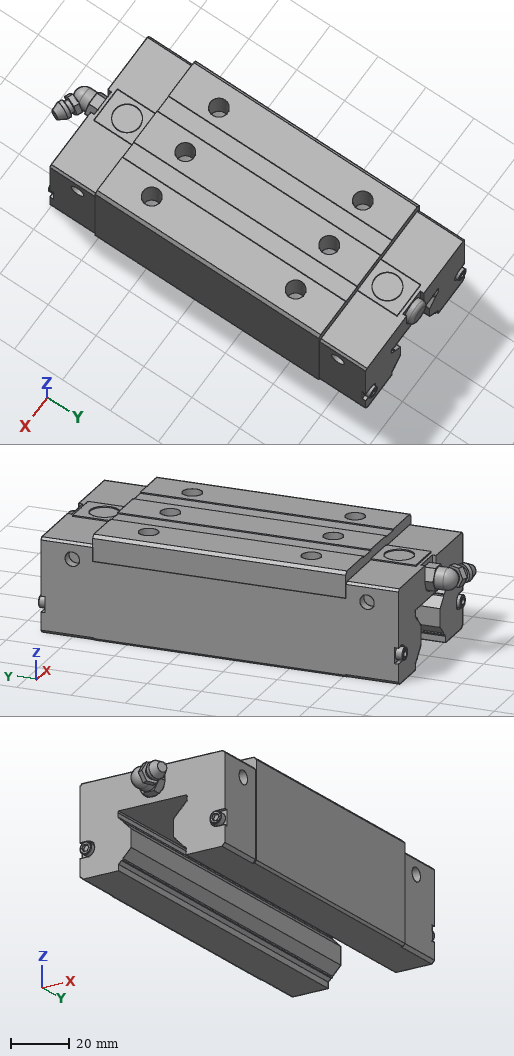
import cadquery as cq
import math


block_length = 93.3
block_half_width = 30.0
block_height = 39.0
block_chamfer = 1.2
block_base_chamfer = 0.9
relief_depth = 0.5
relief_height = 29.3
groove_inner = 7.0
groove_outer = 13.8
groove_depth = 0.5

cap_half_width = block_half_width - relief_depth
cap_end = 63.3
plate_end = 66.0
cap_height = 35.2
cap_chamfer = 0.9
cap_base_chamfer = 1.2
strip_thickness = 0.5

channel_top = 22.0
channel_mouth = 13.8
channel_waist = 8.6
waist_top = 14.4
waist_bottom = 7.5
undercut_half_width = 14.0
undercut_top = 21.4
undercut_bottom = waist_top + undercut_half_width - channel_waist
mouth_height = waist_bottom - (channel_mouth - channel_waist)
lip_offset = 3.4
lip_size = 0.6

hole_pitch_x = 20.0
hole_pitch_y = 30.0
hole_radius = 3.5
hole_depth = 11.7
drill_point_angle = 118
drill_tip = hole_radius / math.tan(math.radians(drill_point_angle / 2))

port_y = 54.4
top_port_radius = 5.3
top_port_depth = 0.5
side_port_radius = 2.6
side_port_z = 28.9
side_port_depth = 3.7

recess_depth = 1.5
recess_floor = plate_end - recess_depth
screw_x = 26.5
screw_z = 10.7
screw_recess_radius = 3.0
screw_radius = 2.3
screw_end = 67.2
screw_chamfer = 0.3
socket_width = 3.0
socket_depth = 1.2

port_z = 29.3
port_recess_radius = 5.1
plug_radius = 4.7
plug_end = 67.8
plug_fillet = 1.5
hex_width = 9.7
hex_end = 68.7
elbow_radius = 4.0
elbow_y = 72.1
nozzle_angle = 23
collar_start = 3.4
collar_end = 5.5
collar_width = 8.2
neck_radius = 2.5
neck_end = 7.3
head_radius = 3.4
head_end = 9.0
tip_radius = 1.9
tip_end = 12.0


def along_y(x, z, y):
    """Workplane at the given point whose normal is +Y and whose local y is -Z."""
    return cq.Workplane(cq.Plane((x, y, z), (1, 0, 0), (0, 1, 0)))


def extrude_both(points, half_length):
    """Prism along Y, centred on Y = 0, from (x, z) points."""
    return cq.Workplane("XZ").polyline(points).close().extrude(half_length, both=True)


def make_block():
    lower_left = -cap_half_width
    shoulder = block_half_width - block_chamfer
    chamfer_base = block_height - block_chamfer
    points = [
        (lower_left + block_base_chamfer, 0),
        (block_half_width - block_base_chamfer, 0),
        (block_half_width, block_base_chamfer),
        (block_half_width, chamfer_base),
        (shoulder, block_height),
        (-shoulder, block_height),
        (-block_half_width, chamfer_base),
        (-block_half_width, relief_height),
        (lower_left, relief_height),
        (lower_left, block_base_chamfer),
    ]
    block = extrude_both(points, block_length / 2)
    groove_middle = (groove_inner + groove_outer) / 2
    grooves = (
        cq.Workplane("XY", origin=(0, 0, block_height))
        .pushPoints([(-groove_middle, 0), (groove_middle, 0)])
        .rect(groove_outer - groove_inner, block_length)
        .extrude(-groove_depth)
    )
    return block.cut(grooves)


def make_ends():
    points = [
        (cap_half_width - cap_base_chamfer, 0),
        (cap_half_width, cap_base_chamfer),
        (cap_half_width, cap_height - cap_chamfer),
        (cap_half_width - cap_chamfer, cap_height),
    ]
    mirrored = [(-x, z) for x, z in reversed(points)]
    ends = extrude_both(points + mirrored, plate_end)
    strip = (
        cq.Workplane("XY", origin=(0, 0, cap_height))
        .rect(2 * groove_inner, 2 * cap_end)
        .extrude(strip_thickness)
    )
    return ends.union(strip)


def make_channel():
    lip_x = channel_waist + lip_offset
    points = [
        (channel_mouth, 0),
        (channel_mouth, mouth_height),
        (lip_x + lip_size, waist_bottom - lip_offset - lip_size),
        (lip_x, waist_bottom - lip_offset - lip_size),
        (lip_x, waist_bottom - lip_offset),
        (channel_waist, waist_bottom),
        (channel_waist, waist_top),
        (lip_x, waist_top + lip_offset),
        (lip_x, waist_top + lip_offset + lip_size),
        (lip_x + lip_size, waist_top + lip_offset + lip_size),
        (undercut_half_width, undercut_bottom),
        (undercut_half_width, undercut_top),
        (channel_mouth, channel_top),
    ]
    mirrored = [(-x, z) for x, z in reversed(points)]
    return extrude_both(points + mirrored, plate_end)


def make_mounting_hole(x, y):
    profile = [
        (0, 0),
        (hole_radius, 0),
        (hole_radius, -hole_depth),
        (0, -hole_depth - drill_tip),
    ]
    hole = cq.Workplane("XZ").polyline(profile).close().revolve(360, (0, 0), (0, 1))
    return hole.translate((x, y, block_height))


def make_cap_ports(y):
    ports = (
        cq.Workplane("XY", origin=(0, y, cap_height + strip_thickness))
        .circle(top_port_radius)
        .extrude(-top_port_depth)
    )
    for side in (-1, 1):
        port = (
            cq.Workplane("YZ", origin=(side * cap_half_width, y, side_port_z))
            .circle(side_port_radius)
            .extrude(-side * side_port_depth)
        )
        ports = ports.union(port)
    return ports


def make_end_recesses():
    """Recesses of the +Y end: open to the sides for the screws, open upwards for the port."""
    recesses = along_y(0, port_z, recess_floor).circle(port_recess_radius).extrude(recess_depth)
    slot_height = cap_height - port_z
    port_slot = (
        along_y(0, port_z + slot_height / 2, recess_floor)
        .rect(2 * port_recess_radius, slot_height)
        .extrude(recess_depth)
    )
    recesses = recesses.union(port_slot)
    side_length = cap_half_width - screw_x
    for side in (-1, 1):
        bore = (
            along_y(side * screw_x, screw_z, recess_floor)
            .circle(screw_recess_radius)
            .extrude(recess_depth)
        )
        side_slot = (
            along_y(side * (screw_x + side_length / 2), screw_z, recess_floor)
            .rect(side_length, 2 * screw_recess_radius)
            .extrude(recess_depth)
        )
        recesses = recesses.union(bore).union(side_slot)
    return recesses


def make_screw(x):
    head = (
        along_y(x, screw_z, recess_floor)
        .circle(screw_radius)
        .extrude(screw_end - recess_floor)
        .faces(">Y")
        .chamfer(screw_chamfer)
    )
    socket = along_y(x, screw_z, screw_end).polygon(6, socket_width).extrude(-socket_depth)
    return head.cut(socket)


def make_plug():
    return (
        along_y(0, port_z, recess_floor)
        .circle(plug_radius)
        .extrude(plug_end - recess_floor)
        .faces(">Y")
        .fillet(plug_fillet)
    )


def make_nipple():
    base = along_y(0, port_z, -recess_floor).polygon(6, hex_width).extrude(recess_floor - hex_end)
    stem = along_y(0, port_z, -hex_end).circle(elbow_radius).extrude(hex_end - elbow_y)
    elbow = cq.Workplane("XY").sphere(elbow_radius).translate((0, -elbow_y, port_z))
    profile = [
        (0, 0),
        (0, neck_radius),
        (neck_end, neck_radius),
        (neck_end, head_radius),
        (head_end, head_radius),
        (tip_end, tip_radius),
        (tip_end, 0),
    ]
    nozzle = cq.Workplane("XY").polyline(profile).close().revolve(360, (0, 0), (1, 0))
    collar = (
        cq.Workplane("YZ", origin=(collar_start, 0, 0))
        .polygon(6, collar_width)
        .extrude(collar_end - collar_start)
    )
    nozzle = (
        nozzle.union(collar)
        .rotate((0, 0, 0), (0, 0, 1), -nozzle_angle)
        .translate((0, -elbow_y, port_z))
    )
    return base.union(stem).union(elbow).union(nozzle)


result = make_block().union(make_ends()).cut(make_channel())

for x in (-hole_pitch_x, 0, hole_pitch_x):
    for y in (-hole_pitch_y, hole_pitch_y):
        result = result.cut(make_mounting_hole(x, y))

for y in (-port_y, port_y):
    result = result.cut(make_cap_ports(y))

back_recesses = make_end_recesses()
back_screws = make_screw(-screw_x).union(make_screw(screw_x))
result = result.cut(back_recesses).cut(back_recesses.mirror("XZ"))
result = result.union(back_screws).union(back_screws.mirror("XZ"))
result = result.union(make_plug()).union(make_nipple())